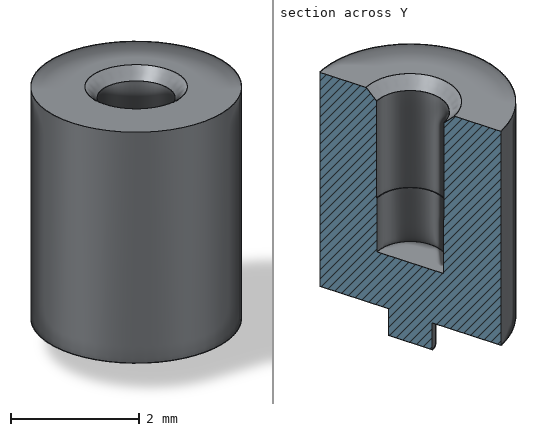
import cadquery as cq

total_height = 4.5
body_diameter = 3.3
pin_diameter = 0.8
pin_length = 0.5
upper_bore_diameter = 1.22
upper_bore_depth = 2.0
lower_bore_diameter = 1.2
full_bore_depth = 3.0
countersink_diameter = 1.6

body_height = total_height - pin_length
countersink_depth = (countersink_diameter - upper_bore_diameter) / 2


def blind_bore(diameter, depth):
    """Cylinder reaching down from the top face of the body."""
    return cq.Workplane("XY", origin=(0, 0, body_height)).circle(diameter / 2).extrude(-depth)


body = cq.Workplane("XY").circle(body_diameter / 2).extrude(body_height)
pin = cq.Workplane("XY").circle(pin_diameter / 2).extrude(-pin_length)

upper_bore = blind_bore(upper_bore_diameter, upper_bore_depth)
lower_bore = blind_bore(lower_bore_diameter, full_bore_depth)

countersink = cq.Workplane(
    cq.Solid.makeCone(
        upper_bore_diameter / 2,
        countersink_diameter / 2,
        countersink_depth,
        pnt=cq.Vector(0, 0, body_height - countersink_depth),
    )
)

result = body.union(pin).cut(lower_bore).cut(upper_bore).cut(countersink)